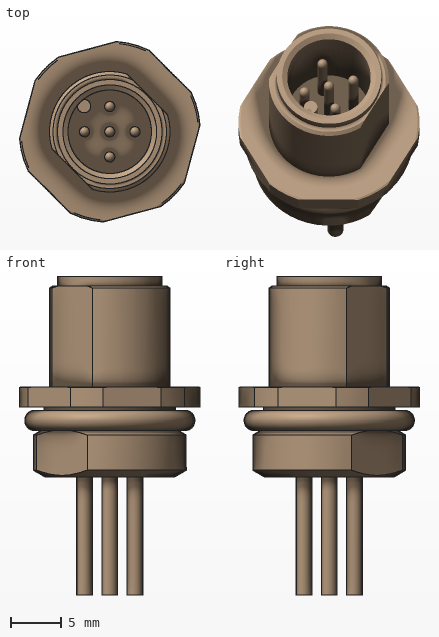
import cadquery as cq
import math

TOTAL_HEIGHT = 31.7
LIP_HEIGHT = 0.95
BARREL_HEIGHT = 10.05
FLANGE_THICKNESS = 2.0
NUT_BOTTOM = 11.73
NUT_HEIGHT = 4.7

SHOULDER_Z = TOTAL_HEIGHT - LIP_HEIGHT
FLANGE_TOP = SHOULDER_Z - BARREL_HEIGHT
FLANGE_BOTTOM = FLANGE_TOP - FLANGE_THICKNESS
NUT_TOP = NUT_BOTTOM + NUT_HEIGHT

LIP_RADIUS = 5.2
BARREL_RADIUS = 6.0
BARREL_FLAT_DISTANCE = 5.25
BARREL_CHAMFER_WIDTH = 0.35
BARREL_CHAMFER_HEIGHT = 0.22

FLANGE_SIDES = 6
FLANGE_RADIUS = 9.0
FLANGE_FLAT_DISTANCE = 8.5
FLANGE_CHAMFER_WIDTH = 0.2
FLANGE_CHAMFER_HEIGHT = 0.05

NECK_RADIUS = 6.55
RING_OUTER_RADIUS = 8.45
RING_SECTION_RADIUS = 1.0
RING_Z = 17.37

NUT_RADIUS = 7.6
NUT_FLAT_DISTANCE = 6.72
NUT_TOP_CHAMFER_HEIGHT = 0.5
NUT_BOTTOM_CHAMFER_HEIGHT = 0.7
NUT_CHAMFER_ANGLE = 30.0
NUT_CHAMFER_SLOPE = math.tan(math.radians(NUT_CHAMFER_ANGLE))

FLAT_ANGLE = 45.0

BORE_RADIUS = 4.15
BORE_DEPTH = 9.0
BORE_CHAMFER_WIDTH = 0.5
BORE_CHAMFER_HEIGHT = 0.3
FLOOR_Z = TOTAL_HEIGHT - BORE_DEPTH

KEY_RADIUS = 0.65
KEY_CENTRE_DISTANCE = 3.6
KEY_ANGLE = 135.0
KEY_TOP = 31.15

CONTACT_SPACING = 2.5
PIN_RADIUS = 0.5
PIN_TOP = 29.75
WIRE_RADIUS = 0.8

CONTACTS = [(0, 0)] + [
    (sx * CONTACT_SPACING, sy * CONTACT_SPACING)
    for sx, sy in ((1, 0), (0, 1), (-1, 0), (0, -1))
]


def revolved(profile):
    """Turn a closed (radius, z) profile around the Z axis."""
    return cq.Workplane("XZ").polyline(profile).close().revolve(360, (0, 0), (0, 1))


def cylinder(radius, bottom, top, centres=((0, 0),)):
    plane = cq.Workplane("XY").workplane(offset=bottom)
    return plane.pushPoints(centres).circle(radius).extrude(top - bottom)


def between_flats(body, distance):
    """Trim a body with two opposite flats at the given distance from the axis."""
    slab = cq.Workplane("XY").rect(2 * distance, TOTAL_HEIGHT).extrude(TOTAL_HEIGHT)
    return body.intersect(slab.rotate((0, 0, 0), (0, 0, 1), FLAT_ANGLE))


def make_barrel():
    barrel = revolved([
        (0, FLANGE_TOP),
        (BARREL_RADIUS, FLANGE_TOP),
        (BARREL_RADIUS, SHOULDER_Z - BARREL_CHAMFER_HEIGHT),
        (BARREL_RADIUS - BARREL_CHAMFER_WIDTH, SHOULDER_Z),
        (0, SHOULDER_Z),
    ])
    lip = cylinder(LIP_RADIUS, SHOULDER_Z, TOTAL_HEIGHT)
    return between_flats(barrel, BARREL_FLAT_DISTANCE).union(lip)


def make_flange():
    disc = revolved([
        (0, FLANGE_BOTTOM),
        (FLANGE_RADIUS, FLANGE_BOTTOM),
        (FLANGE_RADIUS, FLANGE_TOP - FLANGE_CHAMFER_HEIGHT),
        (FLANGE_RADIUS - FLANGE_CHAMFER_WIDTH, FLANGE_TOP),
        (0, FLANGE_TOP),
    ])
    across_corners = 2 * FLANGE_FLAT_DISTANCE / math.cos(math.pi / FLANGE_SIDES)
    hexagon = cq.Workplane("XY").polygon(FLANGE_SIDES, across_corners).extrude(TOTAL_HEIGHT)
    turn = FLAT_ANGLE - 180 / FLANGE_SIDES
    return disc.intersect(hexagon.rotate((0, 0, 0), (0, 0, 1), turn))


def make_sealing_ring():
    ring_radius = RING_OUTER_RADIUS - RING_SECTION_RADIUS
    section = cq.Workplane("XZ").center(ring_radius, RING_Z).circle(RING_SECTION_RADIUS)
    return section.revolve(360, (-ring_radius, 0), (-ring_radius, 1))


def make_nut():
    top_radius = NUT_RADIUS - NUT_TOP_CHAMFER_HEIGHT / NUT_CHAMFER_SLOPE
    bottom_radius = NUT_RADIUS - NUT_BOTTOM_CHAMFER_HEIGHT / NUT_CHAMFER_SLOPE
    nut = revolved([
        (0, NUT_BOTTOM),
        (bottom_radius, NUT_BOTTOM),
        (NUT_RADIUS, NUT_BOTTOM + NUT_BOTTOM_CHAMFER_HEIGHT),
        (NUT_RADIUS, NUT_TOP - NUT_TOP_CHAMFER_HEIGHT),
        (top_radius, NUT_TOP),
        (0, NUT_TOP),
    ])
    return between_flats(nut, NUT_FLAT_DISTANCE)


def make_bore():
    return revolved([
        (0, FLOOR_Z),
        (BORE_RADIUS, FLOOR_Z),
        (BORE_RADIUS, TOTAL_HEIGHT - BORE_CHAMFER_HEIGHT),
        (BORE_RADIUS + BORE_CHAMFER_WIDTH, TOTAL_HEIGHT),
        (0, TOTAL_HEIGHT),
    ])


def make_key():
    angle = math.radians(KEY_ANGLE)
    centre = (KEY_CENTRE_DISTANCE * math.cos(angle), KEY_CENTRE_DISTANCE * math.sin(angle))
    return cylinder(KEY_RADIUS, FLOOR_Z, KEY_TOP, [centre])


def make_pins():
    """Contact pins with hemispherical tips."""
    dome_z = PIN_TOP - PIN_RADIUS
    tips = cq.Workplane("XY").workplane(offset=dome_z).pushPoints(CONTACTS).sphere(PIN_RADIUS)
    return cylinder(PIN_RADIUS, FLOOR_Z, dome_z, CONTACTS).union(tips)


neck = cylinder(NECK_RADIUS, NUT_TOP, FLANGE_BOTTOM)
wires = cylinder(WIRE_RADIUS, 0, NUT_BOTTOM, CONTACTS)

result = (
    make_barrel()
    .union(make_flange())
    .union(neck)
    .union(make_nut())
    .union(make_sealing_ring())
    .cut(make_bore())
    .union(make_key())
    .union(make_pins())
    .union(wires)
)